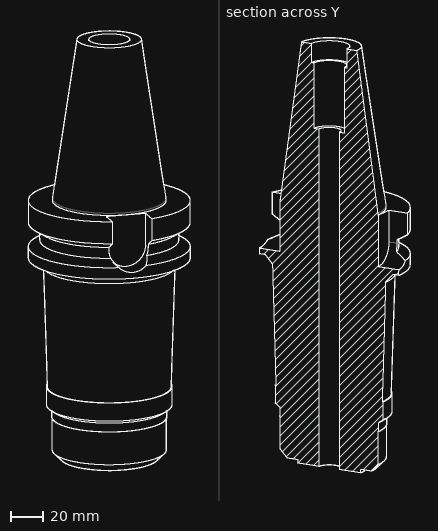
import cadquery as cq

length = 269.2
flange_diameter = 100.0
flange_radius = flange_diameter / 2

tip_radius = 22.5
tip_height = 2.2
nose_radius = 35.3
neck_radius = 35.5
nose_chamfer_width = 5.0
nose_chamfer_top = 7.3
nose_top = 28.3
neck_top = 34.0

collar_radius = 38.8
collar_bottom = 36.0
collar_top = 47.6
body_foot_radius = 38.2
body_top_radius = 40.6
body_top = 124.5

flange_bottom = 129.8
flange_cone_radius = 45.8
lower_rim_top = 137.0
groove_radius = 42.8
groove_bottom = 141.0
groove_top = 148.0
upper_rim_bottom = 152.5
flange_top = 166.5

taper_start = 167.7
taper_large_radius = 35.0
taper_small_radius = 20.0

entry_radius = 12.7
entry_depth = 12.0
thread_radius = 10.8
thread_depth = 53.8
through_radius = 7.3

slot_width = 25.3
slot_floor_x = 35.3
slot_depth = 32.8


def turned_body():
    """Solid of revolution about Z, outlined from the tip up to the shank end."""
    outline = [
        (0, 0),
        (tip_radius, 0),
        (tip_radius, tip_height),
        (nose_radius - nose_chamfer_width, tip_height),
        (nose_radius, nose_chamfer_top),
        (nose_radius, nose_top),
        (neck_radius, nose_top),
        (neck_radius, neck_top),
        (collar_radius, collar_bottom),
        (collar_radius, collar_top),
        (body_foot_radius, collar_top),
        (body_top_radius, body_top),
        (flange_cone_radius, flange_bottom),
        (flange_radius, flange_bottom),
        (flange_radius, lower_rim_top),
        (groove_radius, groove_bottom),
        (groove_radius, groove_top),
        (flange_radius, upper_rim_bottom),
        (flange_radius, flange_top),
        (taper_large_radius, flange_top),
        (taper_large_radius, taper_start),
        (taper_small_radius, length),
        (0, length),
    ]
    return cq.Workplane("XZ").polyline(outline).close().revolve(360, (0, 0), (0, 1))


def bore(radius, depth):
    """Round cutter reaching down from the shank end."""
    return cq.Workplane("XY").workplane(offset=length - depth).circle(radius).extrude(depth)


def drive_slot(side):
    """Slot cutter, open at the flange top with a half-round bottom; side is +1 or -1."""
    half_width = slot_width / 2
    slot_bottom = flange_top - slot_depth
    arc_center_z = slot_bottom + half_width
    return (
        cq.Workplane("YZ", origin=(side * slot_floor_x, 0, 0))
        .moveTo(-half_width, flange_top)
        .lineTo(-half_width, arc_center_z)
        .threePointArc((0, slot_bottom), (half_width, arc_center_z))
        .lineTo(half_width, flange_top)
        .close()
        .extrude(side * flange_radius)
    )


result = turned_body()
for bore_radius, bore_depth in (
    (entry_radius, entry_depth),
    (thread_radius, thread_depth),
    (through_radius, length),
):
    result = result.cut(bore(bore_radius, bore_depth))
for slot_side in (-1, 1):
    result = result.cut(drive_slot(slot_side))